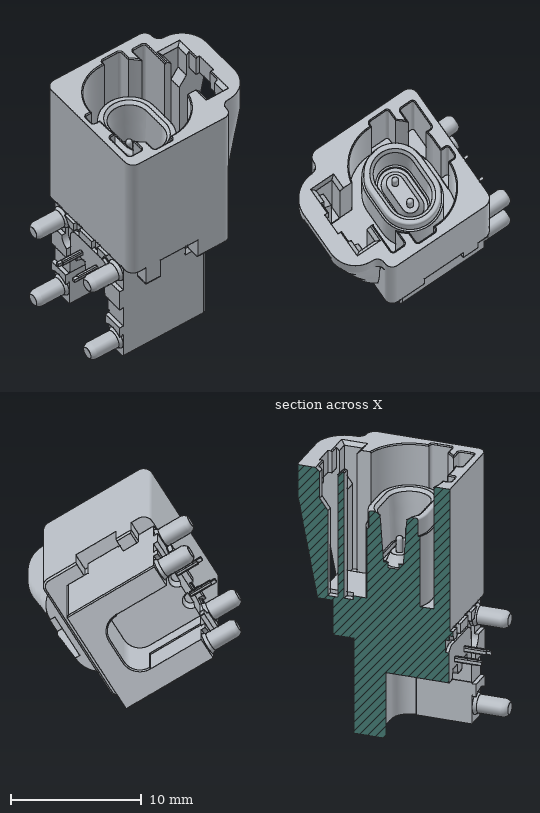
import cadquery as cq
import math

TOP = 21.9

WIDTH = 11.0
BODY_FRONT = -4.65
BODY_BACK = 4.97
BODY_BOTTOM = 8.0
FRONT_CORNER = 0.79
BACK_CORNER = 0.7
BOTTOM_CHAMFER = 0.15

HOOD_BACK = 7.93
HOOD_HALF = 4.12
HOOD_RADIUS = 2.32
HOOD_FLARE = HOOD_BACK - HOOD_RADIUS - BODY_BACK
HOOD_STRAIGHT_BOTTOM = 19.23
HOOD_BOTTOM = 10.9
HOOD_SLANT = 1.62

CONTACT_X = 1.0
BORE_RADIUS = 3.55
RIM_CHAMFER = 0.09
FLOOR = 11.6
SIDE_FLOOR = 11.28
KEY_CORNER = 0.22
KEYWAYS = (
    (-4.47, -1.75, 2.83, 4.03),
    (-4.95, -3.07, 0.26, 2.05),
    (3.07, 4.97, -2.04, -0.25),
    (1.86, 4.45, -4.03, -2.75),
    (-1.03, 0.02, -4.2, -3.07),
)

LATCH_HALF = 1.82
LATCH_BACK = 6.29
LATCH_NOTCH_HALF = 0.9
LATCH_NOTCH_BACK = 6.61
TONGUE_BACK = 5.9
BRIDGE_BOTTOM = 20.05
POCKET_HALF = 2.9
POCKET_FRONT = 4.58
POCKET_BACK = 6.05
POCKET_DEEP_BACK = 5.37
POCKET_STEP_TOP = 19.35
POCKET_STEP_BOTTOM = 18.42
LEAD_IN = 0.33
SIDE_LEAD_IN = 0.26

COLLAR_TOP = 19.0
COLLAR_RADIUS = 2.4
COLLAR_ROUND = 0.2
FLANGE_RADIUS = 2.56
FLANGE_TOP = 17.52
COLLAR_MOUTH_RADIUS = 1.69
COLLAR_MOUTH_CHAMFER = 0.26
WELL_FLOOR = 14.45
WELL_FLOOR_RADIUS = 1.35
WELL_STEP = 14.9
WELL_STEP_RADIUS = 1.51
CARRIER_TOP = 15.33
CARRIER_BASE_RADIUS = 1.07
CARRIER_TOP_RADIUS = 0.68
CONTACT_RADIUS = 0.26
CONTACT_TOP = 16.65

BASE_HALF = 4.4
BASE_FRONT = -4.55
BASE_BACK = 3.26
BASE_TOP = 9.95
BASE_CHAMFER = 0.15
EDGE_DEPTH = 0.2
EDGE_INSET = 0.07
FOOT_CHAMFER = 0.1
NOTCH_BACK = 1.75
TOOTH_BACK = -1.85
TOOTH_FRONT = -3.22
TAB_BACK = 1.34
TAB_FRONT = -1.38
GAP_DEPTH = 0.26
SHOULDER_BOTTOM = 7.62

CHANNEL_TOP = 5.55
CHANNEL_RADIUS = 1.42
FOOT_CHANNEL_HALF = 2.55
FOOT_CHANNEL_TOP = 3.57
INSERT_HALF = 2.4
INSERT_TOP = 8.52
INSERT_CORNER = 0.83
RECESS_HALF = 3.02
RECESS_BOTTOM = 6.35
RECESS_TOP = 9.15
RECESS_CORNER = 1.0
RECESS_DEPTH = 0.26
WIRE_TOP = 6.37
WIRE_THROAT = 5.74
WIRE_MOUTH_RADIUS = 0.64
WIRE_THROAT_RADIUS = 0.55
WIRE_TOP_RADIUS = 0.45

PAD_FRONT = -4.9
PAD_CLEARANCE = 1.35
SIDE_PAD = (5.4, 7.42)
FOOT_PAD = (1.53, 3.42)
TOP_PAD_BOTTOM = 8.75
CENTRE_PAD_HALF = 0.8
OUTER_PAD_START = 1.53
PEG_X = 3.48
PEG_HEIGHTS = (1.38, 8.85)
PEG_RADIUS = 0.75
PEG_ROOT_RADIUS = 0.9
PEG_ROOT_END = -4.85
PEG_TAPER_START = -6.9
PEG_BULGE = -7.16
PEG_BULGE_RADIUS = 0.64
PEG_TIP = -7.31
PEG_TIP_RADIUS = 0.48
PIN_Z = 7.03
PIN_OUTER = 1.15
PIN_WIDTH = 0.35
PIN_HEIGHT = 0.44
PIN_END = -6.4
PIN_TIP_WIDTH = 0.26
PIN_TIP_HEIGHT = 0.28
PIN_TIP_END = -6.79
PIN_CHAMFER = 0.09

SIDES = (-1, 1)


def block(x0, x1, y0, y1, z0, z1):
    return cq.Workplane("XY").box(x1 - x0, y1 - y0, z1 - z0, centered=False).translate((x0, y0, z0))


def contact_slot(radius, z0, z1):
    """Upright slot whose round ends are centred on the two contacts."""
    length = 2 * (CONTACT_X + radius)
    return cq.Workplane("XY", origin=(0, 0, z0)).slot2D(length, 2 * radius).extrude(z1 - z0)


def tapered_slot(radius0, z0, radius1, z1):
    """Contact slot that changes radius from z0 to z1."""
    taper = math.degrees(math.atan2(radius0 - radius1, z1 - z0))
    length = 2 * (CONTACT_X + radius0)
    return cq.Workplane("XY", origin=(0, 0, z0)).slot2D(length, 2 * radius0).extrude(z1 - z0, taper=taper)


def hood_outline(workplane):
    """Closed hood profile: flared foot, two large round corners, flat back."""
    root = BODY_BACK - HOOD_RADIUS
    flare_x = HOOD_HALF + HOOD_FLARE
    corner_x = HOOD_HALF - HOOD_RADIUS
    corner_y = HOOD_BACK - HOOD_RADIUS
    diagonal = math.sqrt(0.5)
    bend_x = flare_x - HOOD_FLARE * diagonal
    bend_y = BODY_BACK + HOOD_FLARE * (1 - diagonal)
    bow_x = corner_x + HOOD_RADIUS * diagonal
    bow_y = corner_y + HOOD_RADIUS * diagonal
    return (
        workplane.moveTo(-flare_x, root)
        .lineTo(flare_x, root)
        .lineTo(flare_x, BODY_BACK)
        .threePointArc((bend_x, bend_y), (HOOD_HALF, corner_y))
        .threePointArc((bow_x, bow_y), (corner_x, HOOD_BACK))
        .lineTo(-corner_x, HOOD_BACK)
        .threePointArc((-bow_x, bow_y), (-HOOD_HALF, corner_y))
        .threePointArc((-bend_x, bend_y), (-flare_x, BODY_BACK))
        .close()
    )


def make_hood():
    straight = hood_outline(cq.Workplane("XY", origin=(0, 0, HOOD_STRAIGHT_BOTTOM)))
    straight = straight.extrude(TOP - HOOD_STRAIGHT_BOTTOM)
    upper = hood_outline(cq.Workplane("XY", origin=(0, 0, HOOD_STRAIGHT_BOTTOM))).wire().val()
    lower = upper.translate(cq.Vector(0, -HOOD_SLANT, HOOD_BOTTOM - HOOD_STRAIGHT_BOTTOM))
    slanted = cq.Solid.makeLoft([lower, upper], True)
    return straight.union(cq.Workplane(slanted))


def make_housing():
    half = WIDTH / 2
    body = block(-half, half, BODY_FRONT, BODY_BACK, BODY_BOTTOM, TOP)
    body = body.edges("|Z and <Y").fillet(FRONT_CORNER)
    body = body.edges("|Z and >Y").fillet(BACK_CORNER)
    body = body.cut(block(-half, half, BODY_FRONT, TOOTH_FRONT, BODY_BOTTOM, BASE_TOP))
    body = body.faces("<Z").edges().chamfer(BOTTOM_CHAMFER)
    for side in SIDES:
        inner, outer = sorted((side * BASE_HALF, side * half))
        body = body.cut(block(inner, outer, TOOTH_BACK, NOTCH_BACK, BODY_BOTTOM, BASE_TOP))
    return body.union(make_hood())


def floor_slab():
    """Bore floor and latch tongue, standing above the deeper floor of the side recesses."""
    tongue = block(-LATCH_HALF, LATCH_HALF, 0, TONGUE_BACK, SIDE_FLOOR, FLOOR)
    return contact_slot(BORE_RADIUS, SIDE_FLOOR, FLOOR).union(tongue)


def make_bore():
    bore = contact_slot(BORE_RADIUS, FLOOR, TOP)
    for x0, x1, y0, y1 in KEYWAYS:
        key = block(x0, x1, y0, y1, SIDE_FLOOR, TOP)
        bore = bore.union(key.edges("|Z").fillet(KEY_CORNER))
    return bore.cut(floor_slab())


def make_latch_pocket():
    half = LATCH_HALF
    passage = block(-half, half, 0, LATCH_BACK, FLOOR, TOP)
    notch = block(-LATCH_NOTCH_HALF, LATCH_NOTCH_HALF, 0, LATCH_NOTCH_BACK, FLOOR, TOP)
    window = block(-half, half, TONGUE_BACK, HOOD_BACK, HOOD_BOTTOM, BRIDGE_BOTTOM)
    side_profile = [
        (POCKET_FRONT, SIDE_FLOOR),
        (POCKET_DEEP_BACK, SIDE_FLOOR),
        (POCKET_DEEP_BACK, POCKET_STEP_BOTTOM),
        (POCKET_BACK, POCKET_STEP_TOP),
        (POCKET_BACK, TOP),
        (POCKET_FRONT, TOP),
    ]
    sides = cq.Workplane("YZ").polyline(side_profile).close().extrude(POCKET_HALF, both=True)
    sides = sides.cut(floor_slab())
    middle = (POCKET_FRONT + POCKET_BACK) / 2
    mouth = (
        cq.Workplane("XY", origin=(0, middle, TOP))
        .rect(2 * (POCKET_HALF + SIDE_LEAD_IN), POCKET_BACK - POCKET_FRONT + 2 * LEAD_IN)
        .workplane(offset=-LEAD_IN)
        .rect(2 * POCKET_HALF, POCKET_BACK - POCKET_FRONT)
        .loft(ruled=True)
    )
    return passage.union(notch).union(window).union(sides).union(mouth)


def make_collar():
    collar = contact_slot(COLLAR_RADIUS, FLOOR, COLLAR_TOP)
    collar = collar.faces(">Z").edges().fillet(COLLAR_ROUND)
    collar = collar.union(contact_slot(FLANGE_RADIUS, FLOOR, FLANGE_TOP))
    mouth_bottom = COLLAR_TOP - COLLAR_MOUTH_CHAMFER
    well = tapered_slot(WELL_STEP_RADIUS, WELL_STEP, COLLAR_MOUTH_RADIUS, mouth_bottom)
    well = well.union(contact_slot(WELL_FLOOR_RADIUS, WELL_FLOOR, WELL_STEP))
    mouth = tapered_slot(
        COLLAR_MOUTH_RADIUS, mouth_bottom, COLLAR_MOUTH_RADIUS + COLLAR_MOUTH_CHAMFER, COLLAR_TOP
    )
    collar = collar.cut(well).cut(mouth)
    carrier = tapered_slot(CARRIER_BASE_RADIUS, WELL_FLOOR, CARRIER_TOP_RADIUS, CARRIER_TOP)
    collar = collar.union(carrier)
    for side in SIDES:
        contact = cq.Workplane("XY", origin=(side * CONTACT_X, 0, WELL_FLOOR)).circle(CONTACT_RADIUS)
        shank_top = CONTACT_TOP - CONTACT_RADIUS
        contact = contact.extrude(shank_top - WELL_FLOOR)
        tip = cq.Workplane("XY").sphere(CONTACT_RADIUS).translate((side * CONTACT_X, 0, shank_top))
        collar = collar.union(contact).union(tip)
    return collar


def make_base():
    base = (
        cq.Workplane("XY")
        .moveTo(-BASE_HALF, BASE_FRONT)
        .lineTo(BASE_HALF, BASE_FRONT)
        .lineTo(BASE_HALF, BASE_BACK - EDGE_DEPTH)
        .lineTo(BASE_HALF - EDGE_INSET, BASE_BACK)
        .lineTo(-BASE_HALF + EDGE_INSET, BASE_BACK)
        .lineTo(-BASE_HALF, BASE_BACK - EDGE_DEPTH)
        .close()
        .extrude(BASE_TOP)
    )
    return base.edges("<Z and |Y").chamfer(FOOT_CHAMFER)


def wedge(side, bottom, top, depth, y0, y1):
    """Up-facing bevel to cut from one side face of the base block."""
    face = side * BASE_HALF
    profile = [(face, bottom), (face, top), (face - side * depth, top)]
    return cq.Workplane("XZ", origin=(0, y1, 0)).polyline(profile).close().extrude(y1 - y0)


def cut_side_steps(housing):
    """Bevels and latch gap beside the flush tab on each side of the base block."""
    bevel_bottom = BASE_TOP - BASE_CHAMFER
    for side in SIDES:
        for y0, y1 in ((BASE_FRONT, TOOTH_FRONT), (TOOTH_BACK, TAB_FRONT)):
            housing = housing.cut(wedge(side, bevel_bottom, BASE_TOP, BASE_CHAMFER, y0, y1))
        x0, x1 = sorted((side * BASE_HALF, side * (BASE_HALF - GAP_DEPTH)))
        housing = housing.cut(block(x0, x1, TAB_BACK, NOTCH_BACK, BODY_BOTTOM, BASE_TOP))
        housing = housing.cut(wedge(side, SHOULDER_BOTTOM, BODY_BOTTOM, GAP_DEPTH, TAB_BACK, BASE_BACK))
    return housing


def add_pads(base):
    pads = block(-CENTRE_PAD_HALF, CENTRE_PAD_HALF, PAD_FRONT, BASE_FRONT, TOP_PAD_BOTTOM, BASE_TOP)
    for side in SIDES:
        x0, x1 = sorted((side * OUTER_PAD_START, side * PEG_X))
        pads = pads.union(block(x0, x1, PAD_FRONT, BASE_FRONT, TOP_PAD_BOTTOM, BASE_TOP))
        x0, x1 = sorted((side * INSERT_HALF, side * BASE_HALF))
        for z0, z1 in (SIDE_PAD, FOOT_PAD):
            pads = pads.union(block(x0, x1, PAD_FRONT, BASE_FRONT, z0, z1))
    clearances = cq.Workplane("XZ", origin=(0, BASE_FRONT, 0)).pushPoints(peg_centres())
    pads = pads.cut(clearances.circle(PAD_CLEARANCE).extrude(BASE_FRONT - PAD_FRONT))
    return base.union(pads)


def cut_channel(base):
    """Cable channel, open to the front and below, with a round-cornered back."""
    channel = contact_slot(CHANNEL_RADIUS, 0, CHANNEL_TOP)
    channel = channel.union(tapered_slot(CHANNEL_RADIUS + FOOT_CHAMFER, 0, CHANNEL_RADIUS, FOOT_CHAMFER))
    for half, top in ((CONTACT_X + CHANNEL_RADIUS, CHANNEL_TOP), (FOOT_CHANNEL_HALF, FOOT_CHANNEL_TOP)):
        channel = channel.union(block(-half, half, PAD_FRONT, 0, 0, top))
    return base.cut(channel)


def shape_insert(base):
    """Recess around a flush insert, with two tapered wire entries below it."""
    depth_plane = cq.Workplane("XZ", origin=(0, BASE_FRONT + RECESS_DEPTH, 0))
    recess = (
        depth_plane.center(0, (RECESS_BOTTOM + RECESS_TOP) / 2)
        .rect(2 * RECESS_HALF, RECESS_TOP - RECESS_BOTTOM)
        .extrude(BASE_FRONT + RECESS_DEPTH - PAD_FRONT)
        .edges("|Y")
        .fillet(RECESS_CORNER)
    )
    insert = block(-INSERT_HALF, INSERT_HALF, BASE_FRONT, BASE_FRONT + RECESS_DEPTH, CHANNEL_TOP, INSERT_TOP)
    insert = insert.edges("|Y and >Z").fillet(INSERT_CORNER)
    base = base.cut(recess).union(insert)
    wire_profile = [
        (0, CHANNEL_TOP),
        (WIRE_MOUTH_RADIUS, CHANNEL_TOP),
        (WIRE_THROAT_RADIUS, WIRE_THROAT),
        (WIRE_TOP_RADIUS, WIRE_TOP),
        (0, WIRE_TOP),
    ]
    wire = cq.Workplane("XZ").polyline(wire_profile).close().revolve(360, (0, 0), (0, 1))
    for side in SIDES:
        base = base.cut(wire.translate((side * CONTACT_X, BASE_FRONT, 0)))
    return base


def peg_centres():
    return [(side * PEG_X, z) for side in SIDES for z in PEG_HEIGHTS]


def add_pegs(base):
    peg = (
        cq.Workplane("XY")
        .moveTo(0, BASE_FRONT + RECESS_DEPTH)
        .lineTo(PEG_ROOT_RADIUS, BASE_FRONT + RECESS_DEPTH)
        .lineTo(PEG_ROOT_RADIUS, BASE_FRONT)
        .lineTo(PEG_RADIUS, PEG_ROOT_END)
        .lineTo(PEG_RADIUS, PEG_TAPER_START)
        .threePointArc((PEG_BULGE_RADIUS, PEG_BULGE), (PEG_TIP_RADIUS, PEG_TIP))
        .lineTo(0, PEG_TIP)
        .close()
        .revolve(360, (0, 0), (0, 1))
    )
    for x, z in peg_centres():
        base = base.union(peg.translate((x, 0, z)))
    return base


def add_pins(base):
    for side in SIDES:
        outer = side * PIN_OUTER
        x0, x1 = sorted((outer, side * (PIN_OUTER - PIN_WIDTH)))
        pin = block(x0, x1, PIN_END, BASE_FRONT, PIN_Z - PIN_HEIGHT / 2, PIN_Z + PIN_HEIGHT / 2)
        pin = pin.edges("|Y").chamfer(PIN_CHAMFER)
        x0, x1 = sorted((outer, side * (PIN_OUTER - PIN_TIP_WIDTH)))
        tip = block(x0, x1, PIN_TIP_END, PIN_END, PIN_Z - PIN_TIP_HEIGHT / 2, PIN_Z + PIN_TIP_HEIGHT / 2)
        base = base.union(pin).union(tip)
    return base


def chamfer_rim(housing):
    """Break the edge where the bore and its keyways meet the top face."""
    rim = housing.faces(">Z").val().innerWires()[0]
    return housing.newObject(rim.Edges()).chamfer(RIM_CHAMFER)


housing = chamfer_rim(make_housing().cut(make_bore()))
housing = cut_side_steps(housing.union(make_base()))
housing = cut_channel(add_pads(housing))
housing = add_pins(add_pegs(shape_insert(housing)))
result = housing.cut(make_latch_pocket()).union(make_collar())